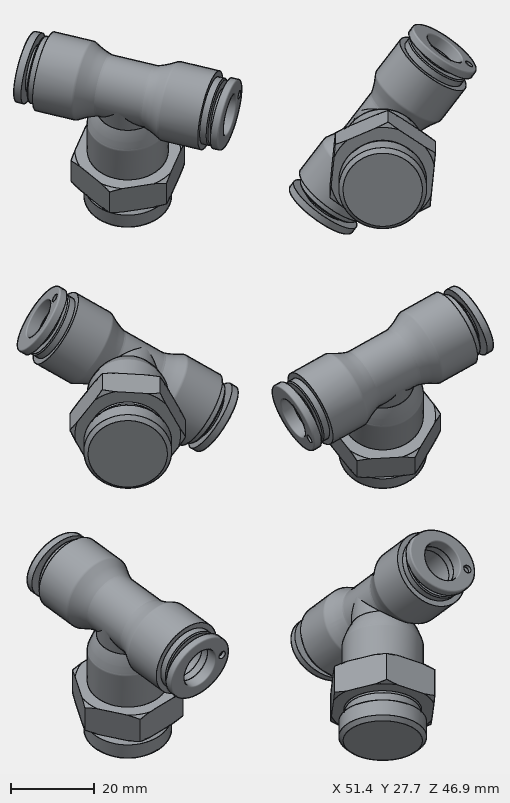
import cadquery as cq
import math


overall_length = 51.4
run_end = overall_length / 2
flange_thickness = 1.95
sleeve_length = 3.05
cap_thickness = 1.95
sleeve_end = run_end - sleeve_length
housing_end = sleeve_end - cap_thickness

socket_radius = 19.4 / 2
neck_radius = 7.5
socket_start = 11.0
blend_length = 0.5
taper_wide_end = socket_start - blend_length
taper_narrow_end = 5.95
neck_end = taper_narrow_end - blend_length
taper_wide_radius = 9.55
taper_narrow_radius = 7.55
taper_bulge = 0.15
socket_blend_bulge = 0.03
neck_blend_bulge = 0.015
branch_neck_end = 5.8
branch_length = 20.65

through_bore_radius = 8.0 / 2
tube_bore_radius = 10.15 / 2
tube_stop = taper_wide_end

cap_radius = 16.5 / 2
cap_chamfer = 0.3

sleeve_bore_radius = 10.2 / 2
sleeve_neck_radius = 11.7 / 2
flange_width = 18.55
flange_height = 16.15
flange_round = 0.35
bore_round = 0.3
mark_hole_diameter = 2.0
mark_hole_offset = 7.05
mark_hole_depth = 1.0

overall_height = 46.9
stud_bottom = socket_radius - overall_height
hex_corners = 27.7
hex_height = 8.1
hex_face_radius = 12.6
hex_chamfer_height = 0.5
relief_radius = 18.2 / 2
relief_top_radius = 9.3
thread_radius = 20.95 / 2
thread_tip_radius = 9.45
relief_taper_height = 0.45
relief_straight_height = 2.0
thread_lead_height = 0.75
thread_chamfer_height = 1.05


def arc_midpoint(start, end, bulge):
    """Middle of an arc that bows to the left of the line from start to end."""
    dx = end[0] - start[0]
    dy = end[1] - start[1]
    chord = math.hypot(dx, dy)
    return (
        (start[0] + end[0]) / 2 - bulge * dy / chord,
        (start[1] + end[1]) / 2 + bulge * dx / chord,
    )


def arc_to(outline, start, end, bulge):
    return outline.threePointArc(arc_midpoint(start, end, bulge), end)


def both_ends(solid):
    """The solid at the +X end and its copy turned half a turn about Z at the -X end."""
    return [solid.rotate((0, 0, 0), (0, 0, 1), angle) for angle in (0, 180)]


def x_cylinder(radius, start, end):
    return cq.Workplane("YZ").workplane(offset=start).circle(radius).extrude(end - start)


def make_run_arm():
    """Half of the run, from the branch axis to the socket mouth, turned about X."""
    neck_point = (neck_end, neck_radius)
    narrow_point = (taper_narrow_end, taper_narrow_radius)
    wide_point = (taper_wide_end, taper_wide_radius)
    socket_point = (socket_start, socket_radius)
    outline = cq.Workplane("XY").lineTo(0, neck_radius).lineTo(*neck_point)
    outline = arc_to(outline, neck_point, narrow_point, -neck_blend_bulge)
    outline = arc_to(outline, narrow_point, wide_point, -taper_bulge)
    outline = arc_to(outline, wide_point, socket_point, socket_blend_bulge)
    outline = outline.lineTo(housing_end, socket_radius).lineTo(housing_end, 0).close()
    return outline.revolve(360, (0, 0, 0), (1, 0, 0))


def make_branch():
    """The downward arm, turned about Z; its taper swells outward."""
    neck_point = (neck_radius, -branch_neck_end)
    wide_point = (taper_wide_radius, -taper_wide_end)
    socket_point = (socket_radius, -socket_start)
    outline = cq.Workplane("XZ").lineTo(neck_radius, 0).lineTo(*neck_point)
    outline = arc_to(outline, neck_point, wide_point, taper_bulge)
    outline = arc_to(outline, wide_point, socket_point, socket_blend_bulge)
    outline = outline.lineTo(socket_radius, -branch_length).lineTo(0, -branch_length).close()
    return outline.revolve(360, (0, 0, 0), (0, 1, 0))


def make_housing():
    housing = make_branch()
    for arm in both_ends(make_run_arm()):
        housing = housing.union(arm)
    housing = housing.cut(x_cylinder(through_bore_radius, -housing_end, housing_end))
    for tube_bore in both_ends(x_cylinder(tube_bore_radius, tube_stop, housing_end)):
        housing = housing.cut(tube_bore)
    return housing


def make_cap():
    """Ring seated on the socket mouth at the +X end."""
    cap = x_cylinder(cap_radius, housing_end, sleeve_end).faces(">X").chamfer(cap_chamfer)
    return cap.cut(x_cylinder(tube_bore_radius, housing_end, sleeve_end))


def make_release_sleeve():
    """Short neck with an oval flange at the +X end of the run."""
    flange = (
        cq.Workplane("YZ")
        .workplane(offset=run_end - flange_thickness)
        .ellipse(flange_width / 2, flange_height / 2)
        .extrude(flange_thickness)
        .faces(">X")
        .edges()
        .fillet(flange_round)
    )
    sleeve = flange.union(x_cylinder(sleeve_neck_radius, sleeve_end, run_end - flange_thickness))
    sleeve = sleeve.cut(x_cylinder(sleeve_bore_radius, sleeve_end, run_end))
    sleeve = sleeve.faces(">X").edges("%CIRCLE").fillet(bore_round)
    mark_hole = (
        cq.Workplane("YZ")
        .workplane(offset=run_end - mark_hole_depth)
        .center(mark_hole_offset, 0)
        .circle(mark_hole_diameter / 2)
        .extrude(mark_hole_depth)
    )
    return sleeve.cut(mark_hole)


def make_hexagon():
    """Hexagon with corners on the Y axis, both faces chamfered by a double cone."""
    hex_bottom = -branch_length - hex_height
    hexagon = (
        cq.Workplane("XY")
        .workplane(offset=hex_bottom)
        .transformed(rotate=(0, 0, 90))
        .polygon(6, hex_corners)
        .extrude(hex_height)
    )
    corner_radius = hex_corners / 2
    chamfer_cone = (
        cq.Workplane("XZ", origin=(0, 0, hex_bottom))
        .lineTo(hex_face_radius, 0)
        .lineTo(corner_radius, hex_chamfer_height)
        .lineTo(corner_radius, hex_height - hex_chamfer_height)
        .lineTo(hex_face_radius, hex_height)
        .lineTo(0, hex_height)
        .close()
        .revolve(360, (0, 0, 0), (0, 1, 0))
    )
    return hexagon.intersect(chamfer_cone)


def make_stud():
    """Hexagon with the relief and the plain thread cylinder below it."""
    relief_top = -branch_length - hex_height
    relief_straight_top = relief_top - relief_taper_height
    relief_bottom = relief_straight_top - relief_straight_height
    thread_top = relief_bottom - thread_lead_height
    thread_bottom = stud_bottom + thread_chamfer_height
    shank = (
        cq.Workplane("XZ")
        .moveTo(0, relief_top)
        .lineTo(relief_top_radius, relief_top)
        .lineTo(relief_radius, relief_straight_top)
        .lineTo(relief_radius, relief_bottom)
        .lineTo(thread_radius, thread_top)
        .lineTo(thread_radius, thread_bottom)
        .lineTo(thread_tip_radius, stud_bottom)
        .lineTo(0, stud_bottom)
        .close()
        .revolve(360, (0, 0, 0), (0, 1, 0))
    )
    return make_hexagon().union(shank)


housing = make_housing()
stud = make_stud()
caps = both_ends(make_cap())
release_sleeves = both_ends(make_release_sleeve())

result = cq.Compound.makeCompound(
    [
        housing.val(),
        stud.val(),
        *[cap.val() for cap in caps],
        *[sleeve.val() for sleeve in release_sleeves],
    ]
)